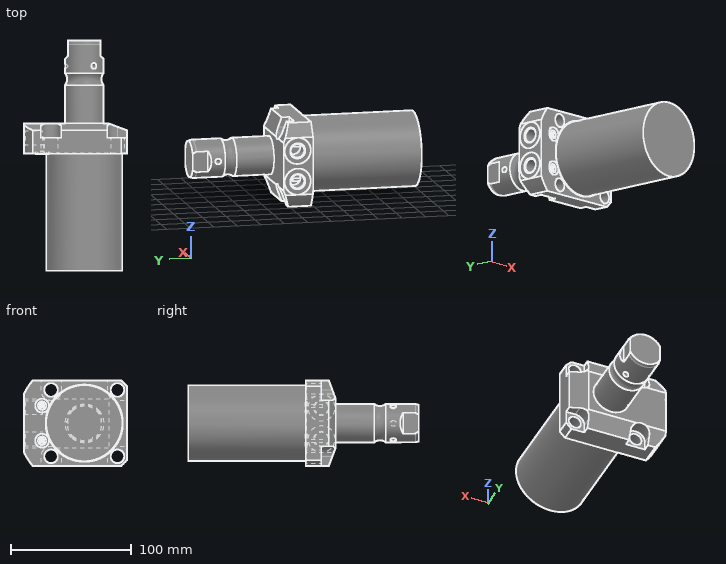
import cadquery as cq
import math


total_length = 190.7
flange_thickness = 25.0
rod_length = 68.6
barrel_length = total_length - flange_thickness - rod_length
rod_end = flange_thickness + rod_length

barrel_radius = 31.5
relief_radius = 32.0
relief_depth = 0.5

half_height = 35.5
left_reach = 50.0
right_reach = half_height
left_corner_radius = 55.5
right_corner_chamfer = 5.0

slope_width = 15.3
slope_depth = 5.7

bolt_offset = 27.5
bolt_hole_diameter = 11.0
bolt_head_diameter = 17.0
bolt_head_floor = 13.0

port_height = 13.0
port_inset = 13.0
port_radius = 5.7
port_depth = 15.0
port_chamfer = 0.8
port_seat_radius = 11.0
port_seat_depth = 0.2

inlet_x = -34.9
inlet_height = 14.5
ring_tube_radius = 1.1
ring_radius = 4.5
ring_recess_radius = ring_radius + ring_tube_radius
ring_protrusion = 0.8
ring_recess_depth = 2 * ring_tube_radius - ring_protrusion
inlet_mouth_radius = 2.0
inlet_mouth_depth = 2.3
inlet_radius = 1.1
inlet_depth = 13.7

rod_radius = 16.0
rod_tip_length = 3.0
rod_tip_inset = rod_tip_length * math.tan(math.radians(15))
groove_start = 27.3
groove_width = 9.7
groove_depth = 1.7
flats_width = 27.0
flats_length = 13.0
dimple_radius = 2.5
dimple_depth = dimple_radius
dimple_position = 21.2
dimple_angles = (60, 180, 300)


def cylinder_along_y(x, z, radius, start, end):
    """Cylinder parallel to Y between two Y positions."""
    return cq.Workplane(
        cq.Solid.makeCylinder(radius, end - start, cq.Vector(x, start, z), cq.Vector(0, 1, 0))
    )


def cylinder_from_left(z, radius, depth):
    """Cylinder going in from the port face."""
    return cq.Workplane(
        cq.Solid.makeCylinder(radius, depth, cq.Vector(-left_reach, port_inset, z), cq.Vector(1, 0, 0))
    )


def make_flange_plate():
    corner_x = -math.sqrt(left_corner_radius**2 - half_height**2)
    corner_z = math.sqrt(left_corner_radius**2 - left_reach**2)
    corner_angle = (math.atan2(half_height, corner_x) + math.atan2(corner_z, -left_reach)) / 2
    middle_x = left_corner_radius * math.cos(corner_angle)
    middle_z = left_corner_radius * math.sin(corner_angle)
    chamfer_x = right_reach - right_corner_chamfer
    chamfer_z = half_height - right_corner_chamfer
    return (
        cq.Workplane("XZ")
        .moveTo(corner_x, half_height)
        .lineTo(chamfer_x, half_height)
        .lineTo(right_reach, chamfer_z)
        .lineTo(right_reach, -chamfer_z)
        .lineTo(chamfer_x, -half_height)
        .lineTo(corner_x, -half_height)
        .threePointArc((middle_x, -middle_z), (-left_reach, -corner_z))
        .lineTo(-left_reach, corner_z)
        .threePointArc((middle_x, middle_z), (corner_x, half_height))
        .close()
        .extrude(-flange_thickness)
    )


def slope_edges(flange):
    """Bevel the top, bottom and right edges of the back face."""
    slope_start = flange_thickness - slope_depth
    cutter_reach = 2 * left_reach
    top_wedge = (
        cq.Workplane("YZ")
        .polyline([
            (flange_thickness, half_height),
            (flange_thickness, half_height - slope_width),
            (slope_start, half_height),
        ])
        .close()
        .extrude(cutter_reach, both=True)
    )
    right_wedge = (
        cq.Workplane("XY")
        .polyline([
            (right_reach, flange_thickness),
            (right_reach - slope_width, flange_thickness),
            (right_reach, slope_start),
        ])
        .close()
        .extrude(cutter_reach, both=True)
    )
    return flange.cut(top_wedge).cut(top_wedge.mirror("XY")).cut(right_wedge)


def cut_bolt_holes(flange):
    """Four counterbored holes; counterbores run out up or down, and the right ones also right."""
    hole_radius = bolt_hole_diameter / 2
    head_radius = bolt_head_diameter / 2
    head_depth = flange_thickness - bolt_head_floor
    for side_x in (-1, 1):
        for side_z in (-1, 1):
            x = side_x * bolt_offset
            z = side_z * bolt_offset
            flange = flange.cut(cylinder_along_y(x, z, hole_radius, 0, flange_thickness))
            flange = flange.cut(cylinder_along_y(x, z, head_radius, bolt_head_floor, flange_thickness))
            run_out = cq.Workplane("XY").box(
                bolt_head_diameter, head_depth, bolt_head_diameter, centered=(True, False, True)
            )
            flange = flange.cut(run_out.translate((x, bolt_head_floor, z + side_z * head_radius)))
            if side_x > 0:
                flange = flange.cut(run_out.translate((x + head_radius, bolt_head_floor, z)))
    return flange


def cut_ports(flange):
    """Two blind ports with a shallow seat and a chamfered mouth."""
    for z in (-port_height, port_height):
        mouth = cq.Workplane(
            cq.Solid.makeCone(
                port_radius + port_chamfer,
                port_radius,
                port_chamfer,
                cq.Vector(-left_reach + port_seat_depth, port_inset, z),
                cq.Vector(1, 0, 0),
            )
        )
        flange = flange.cut(cylinder_from_left(z, port_seat_radius, port_seat_depth))
        flange = flange.cut(mouth)
        flange = flange.cut(cylinder_from_left(z, port_radius, port_depth))
    return flange


def cut_inlets(flange):
    """Stepped inlets from the O-ring recesses into the floors of the ports."""
    for z in (-inlet_height, inlet_height):
        flange = flange.cut(cylinder_along_y(inlet_x, z, ring_recess_radius, 0, ring_recess_depth))
        flange = flange.cut(cylinder_along_y(inlet_x, z, inlet_mouth_radius, 0, inlet_mouth_depth))
        flange = flange.cut(cylinder_along_y(inlet_x, z, inlet_radius, 0, inlet_depth))
    return flange


def make_rod():
    """Turned rod with a tapered tip, a round groove, two flats and three conical dimples."""
    groove_far = rod_end - groove_start
    groove_near = groove_far - groove_width
    groove_middle = (groove_near + groove_far) / 2
    rod = (
        cq.Workplane("XY")
        .moveTo(0, 0)
        .lineTo(rod_radius, 0)
        .lineTo(rod_radius, groove_near)
        .threePointArc((rod_radius - groove_depth, groove_middle), (rod_radius, groove_far))
        .lineTo(rod_radius, rod_end - rod_tip_length)
        .lineTo(rod_radius - rod_tip_inset, rod_end)
        .lineTo(0, rod_end)
        .close()
        .revolve(360, (0, 0, 0), (0, 1, 0))
    )
    flat_x = flats_width / 2
    flats_start = rod_end - flats_length
    flat_cutter = (
        cq.Workplane("XY")
        .polyline([
            (flat_x, rod_end),
            (flat_x, flats_start),
            (flat_x + rod_radius, flats_start - rod_radius),
            (flat_x + rod_radius, rod_end),
        ])
        .close()
        .extrude(rod_radius, both=True)
    )
    rod = rod.cut(flat_cutter).cut(flat_cutter.mirror("YZ"))
    for angle in dimple_angles:
        outward = cq.Vector(math.cos(math.radians(angle)), 0, math.sin(math.radians(angle)))
        tip = outward * (rod_radius - dimple_depth) + cq.Vector(0, rod_end - dimple_position, 0)
        dimple = cq.Solid.makeCone(0, 2 * dimple_radius, 2 * dimple_depth, tip, outward)
        rod = rod.cut(cq.Workplane(dimple))
    return rod


def make_housing():
    flange = slope_edges(make_flange_plate())
    flange = cut_bolt_holes(flange)
    flange = cut_ports(flange)
    flange = cut_inlets(flange)
    flange = flange.cut(cylinder_along_y(0, 0, relief_radius, 0, relief_depth))
    barrel = cylinder_along_y(0, 0, barrel_radius, -barrel_length, relief_depth)
    return flange.union(barrel).union(make_rod()).solids()


def make_o_ring(z):
    """O-ring resting on the floor of its recess and standing proud of the front face."""
    centre = cq.Vector(inlet_x, ring_recess_depth - ring_tube_radius, z)
    return cq.Solid.makeTorus(ring_radius, ring_tube_radius, centre, cq.Vector(0, 1, 0))


housing = make_housing()
o_rings = [make_o_ring(z) for z in (-inlet_height, inlet_height)]

result = cq.Compound.makeCompound([housing.val(), *o_rings])